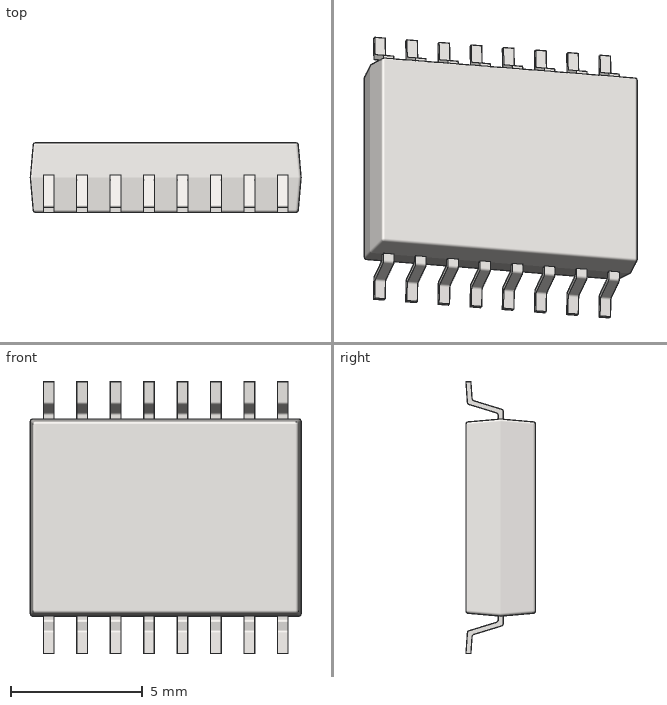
import cadquery as cq
import math

body_length = 10.3
body_height = 7.5
body_depth = 2.65
draft_angle = 5
body_edge_radius = 0.1

leads_per_side = 8
lead_pitch = 1.27
lead_width = 0.41
lead_thickness = 0.2
lead_bend_radius = 0.1
overall_height = 10.33
first_bend_height = 0.28
rise_angle = 17
foot_lean = 4
lead_embed = 0.41


def half_body():
    """Front half of the body, tapering from the parting plane toward -Y."""
    half = (
        cq.Workplane("XZ")
        .rect(body_length, body_height)
        .extrude(body_depth / 2, taper=draft_angle)
    )
    return half.edges("not >Y").fillet(body_edge_radius)


def mitre(point, angle_in, angle_out):
    """Left and right corners of a strip that bends at a centreline point."""
    reach = lead_thickness / 2 / math.cos((angle_out - angle_in) / 2)
    side = (angle_in + angle_out) / 2 + math.pi / 2
    dy = reach * math.cos(side)
    dz = reach * math.sin(side)
    return (point[0] + dy, point[1] + dz), (point[0] - dy, point[1] - dz)


def top_lead():
    """One lead centred on X = 0, leaving the top of the body toward -Y."""
    upright = math.pi / 2
    slant = math.pi - math.radians(rise_angle)
    foot = upright + math.radians(foot_lean)

    tip_half_width = lead_thickness / 2 / math.cos(math.radians(foot_lean))
    tip = (-body_depth / 2 + tip_half_width, overall_height / 2)
    root = (0, body_height / 2 - lead_embed)
    first_bend = (0, body_height / 2 + first_bend_height)

    rise_slope = math.tan(math.radians(rise_angle))
    lean_slope = math.tan(math.radians(foot_lean))
    drop = tip[1] - first_bend[1]
    foot_length_z = (drop + rise_slope * tip[0]) / (1 - rise_slope * lean_slope)
    second_bend = (tip[0] + foot_length_z * lean_slope, tip[1] - foot_length_z)

    root_left, root_right = mitre(root, upright, upright)
    first_left, first_right = mitre(first_bend, upright, slant)
    second_left, second_right = mitre(second_bend, slant, foot)
    tip_left = (tip[0] - tip_half_width, tip[1])
    tip_right = (tip[0] + tip_half_width, tip[1])

    strip = (
        cq.Workplane("YZ")
        .polyline([
            root_left, first_left, second_left, tip_left,
            tip_right, second_right, first_right, root_right,
        ])
        .close()
        .extrude(lead_width / 2, both=True)
    )
    for y, z in (first_left, first_right, second_left, second_right):
        corner = cq.selectors.NearestToPointSelector((0, y, z))
        strip = strip.edges(corner).fillet(lead_bend_radius)
    return strip


front_half = half_body()
result = front_half.union(front_half.mirror("XZ"))

upper_lead = top_lead()
lower_lead = upper_lead.mirror("XY")
first_lead_x = -lead_pitch * (leads_per_side - 1) / 2
for index in range(leads_per_side):
    x = first_lead_x + index * lead_pitch
    result = result.union(upper_lead.translate((x, 0, 0)))
    result = result.union(lower_lead.translate((x, 0, 0)))